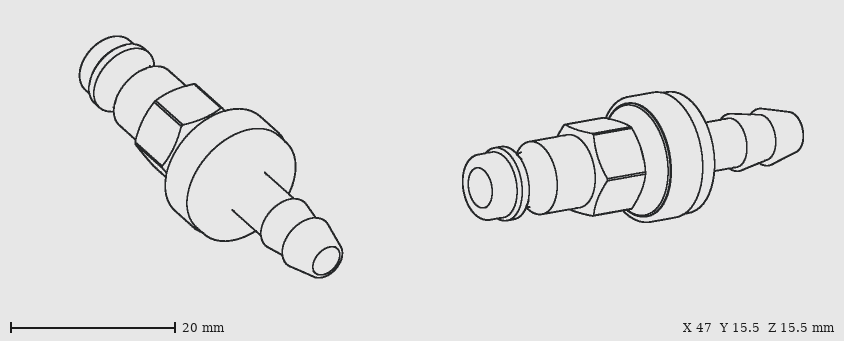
import cadquery as cq
import math

overall_length = 47.0

plug_bore_dia = 4.95
hose_bore_dia = 4.0
bore_funnel_length = (plug_bore_dia - hose_bore_dia) / 2

nose_dia = 8.1
nose_end_fillet = 0.6
collar_dia = 9.0
collar_start = 3.05
collar_end = 4.1
neck_dia = 6.65
neck_fillet = 1.0
barrel_start = 8.32
barrel_dia = collar_dia

hex_sides = 6
hex_start = 14.05
hex_end = 21.5
hex_across_flats = 10.35
hex_corner_dia = 11.8
hex_chamfer_angle = math.radians(30)

shank_dia = 8.7
shank_fillet = 0.4
shoulder_dia = 14.0
shoulder_start = 23.35
shoulder_chamfer = 0.2
ring_dia = 15.5
ring_start = 23.68
ring_fillet = 0.25
joint = 28.0

flange_dia = 15.0
flange_end = 29.95
flange_fillet = 0.2
tube_dia = 6.05
tube_fillet = 0.5
barb_dia = 7.2
barb_starts = [38.0, 42.5]
barb_foot_dia = 5.6
barb_fillet = 0.25
tip_dia = 4.95
tip_fillet = 0.25


def revolve_about_x(outline):
    """Turn a closed XY outline a full revolution about the X axis."""
    return outline.close().revolve(360, (0, 0, 0), (1, 0, 0))


def round_edges(body, x, diameter, radius):
    """Fillet the circular edge of the given diameter at position x."""
    half = diameter / 2
    margin = 0.01
    box = cq.selectors.BoxSelector(
        (x - margin, -half - margin, -half - margin),
        (x + margin, half + margin, half + margin),
        boundingbox=True,
    )
    circle = cq.selectors.RadiusNthSelector(-1)
    return body.edges(box).edges(circle).fillet(radius)


def make_plug_profile():
    """Turned plug without its hexagon."""
    nose_step = (collar_dia - nose_dia) / 2
    neck_start = collar_end + (collar_dia - neck_dia) / 2
    neck_end = barrel_start - (barrel_dia - neck_dia) / 2
    shoulder_face_radius = shoulder_dia / 2 - shoulder_chamfer
    outline = (
        cq.Workplane("XY")
        .moveTo(0, plug_bore_dia / 2)
        .lineTo(0, nose_dia / 2)
        .lineTo(collar_start - nose_step, nose_dia / 2)
        .lineTo(collar_start, collar_dia / 2)
        .lineTo(collar_end, collar_dia / 2)
        .lineTo(neck_start, neck_dia / 2)
        .lineTo(neck_end, neck_dia / 2)
        .lineTo(barrel_start, barrel_dia / 2)
        .lineTo(hex_start, barrel_dia / 2)
        .lineTo(hex_start, shank_dia / 2)
        .lineTo(shoulder_start, shank_dia / 2)
        .lineTo(shoulder_start, shoulder_face_radius)
        .lineTo(shoulder_start + shoulder_chamfer, shoulder_dia / 2)
        .lineTo(ring_start, shoulder_dia / 2)
        .lineTo(ring_start, ring_dia / 2)
        .lineTo(joint, ring_dia / 2)
        .lineTo(joint, plug_bore_dia / 2)
    )
    turned = revolve_about_x(outline)
    turned = round_edges(turned, 0, nose_dia, nose_end_fillet)
    for x in (neck_start, neck_end):
        turned = round_edges(turned, x, neck_dia, neck_fillet)
    turned = round_edges(turned, shoulder_start, shank_dia, shank_fillet)
    for x in (ring_start, joint):
        turned = round_edges(turned, x, ring_dia, ring_fillet)
    return turned


def make_hexagon():
    """Hexagon with two flats facing +Z and -Z, its corners turned down and chamfered at both ends."""
    corner_radius = hex_corner_dia / 2
    front_chamfer = (corner_radius - barrel_dia / 2) * math.tan(hex_chamfer_angle)
    rear_chamfer = (corner_radius - shank_dia / 2) * math.tan(hex_chamfer_angle)
    sharp_corner_dia = hex_across_flats / math.cos(math.pi / hex_sides)
    prism = (
        cq.Workplane("YZ", origin=(hex_start, 0, 0))
        .polygon(hex_sides, sharp_corner_dia)
        .circle(plug_bore_dia / 2)
        .extrude(hex_end - hex_start)
    )
    envelope = revolve_about_x(
        cq.Workplane("XY")
        .moveTo(hex_start, 0)
        .lineTo(hex_start, barrel_dia / 2)
        .lineTo(hex_start + front_chamfer, corner_radius)
        .lineTo(hex_end - rear_chamfer, corner_radius)
        .lineTo(hex_end, shank_dia / 2)
        .lineTo(hex_end, 0)
    )
    return prism.intersect(envelope)


def make_plug():
    """Plug half: locking profile, hexagon, shoulder and ring, in one piece."""
    return make_plug_profile().union(make_hexagon())


def make_hose_barb():
    """Hose half: flange, tube and two barbs, in one piece."""
    first_barb, second_barb = barb_starts
    outline = (
        cq.Workplane("XY")
        .moveTo(joint, plug_bore_dia / 2)
        .lineTo(joint, flange_dia / 2)
        .lineTo(flange_end, flange_dia / 2)
        .lineTo(flange_end, tube_dia / 2)
        .lineTo(first_barb, tube_dia / 2)
        .lineTo(first_barb, barb_dia / 2)
        .lineTo(second_barb, barb_foot_dia / 2)
        .lineTo(second_barb, barb_dia / 2)
        .lineTo(overall_length, tip_dia / 2)
        .lineTo(overall_length, hose_bore_dia / 2)
        .lineTo(joint + bore_funnel_length, hose_bore_dia / 2)
    )
    turned = revolve_about_x(outline)
    for x in (joint, flange_end):
        turned = round_edges(turned, x, flange_dia, flange_fillet)
    turned = round_edges(turned, flange_end, tube_dia, tube_fillet)
    for x in barb_starts:
        turned = round_edges(turned, x, barb_dia, barb_fillet)
    return round_edges(turned, overall_length, tip_dia, tip_fillet)


plug = make_plug()
hose_barb = make_hose_barb()
result = cq.Compound.makeCompound([plug.val(), hose_barb.val()])